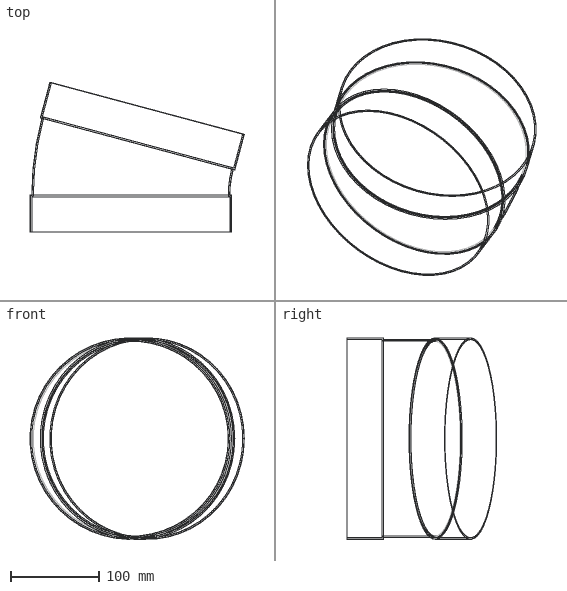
import cadquery as cq
import math

bend_angle = 15.0
socket_outer_diameter = 228.6
bend_outer_diameter = 225.0
bend_radius = 225.0
socket_length = 41.8

wall = (socket_outer_diameter - bend_outer_diameter) / 2
socket_outer_radius = socket_outer_diameter / 2
bend_outer_radius = bend_outer_diameter / 2
socket_bore_radius = bend_outer_radius
bend_bore_radius = bend_outer_radius - wall

stop_round = wall
socket_depth = socket_length - stop_round


def make_socket():
    """Socket along Y with its open end at Y = 0 and its rounded stop ending at Y = socket_length."""
    arc_offset = stop_round * (1 - math.sqrt(0.5))
    return (
        cq.Workplane("XY")
        .moveTo(socket_outer_radius, 0)
        .lineTo(socket_outer_radius, socket_length)
        .lineTo(bend_bore_radius, socket_length)
        .threePointArc(
            (bend_bore_radius + arc_offset, socket_depth + arc_offset),
            (socket_bore_radius, socket_depth),
        )
        .lineTo(socket_bore_radius, 0)
        .close()
        .revolve(360, (0, 0, 0), (0, 1, 0))
    )


def make_bend():
    """Curved tube that starts at Y = socket_length and turns towards +X."""
    return (
        cq.Workplane("XZ", origin=(0, socket_length, 0))
        .circle(bend_outer_radius)
        .circle(bend_bore_radius)
        .revolve(bend_angle, (bend_radius, 1, 0), (bend_radius, 0, 0))
    )


def mirror_across_bend(socket):
    """Mirror a socket in the plane that halves the bend angle, giving the socket of the other end."""
    half_angle = math.radians(bend_angle / 2)
    normal = cq.Vector(math.sin(half_angle), math.cos(half_angle), 0)
    return socket.mirror(normal, (bend_radius, socket_length, 0))


socket = make_socket()
result = make_bend().union(socket).union(mirror_across_bend(socket))